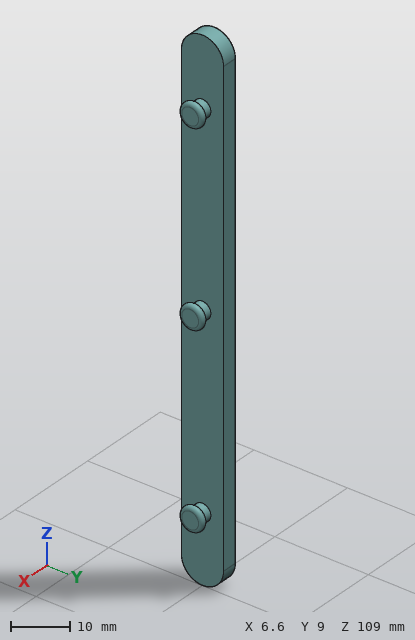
import cadquery as cq

bar_length = 109.0
bar_width = 9.0
bar_thickness = 3.3

total_depth = 6.6
stud_spacing = 40.0
neck_diameter = 3.6
bead_radius = 0.8

neck_radius = neck_diameter / 2
bead_start = total_depth - 2 * bead_radius


def make_bar():
    """Bar with its outer face on X = 0, centred in Y and Z."""
    return (
        cq.Workplane("YZ")
        .slot2D(bar_length, bar_width, angle=90)
        .extrude(bar_thickness)
    )


def make_stud(height):
    """Round neck ending in a half-round bead and a flat tip, at the given Z height."""
    profile = (
        cq.Workplane("XY")
        .moveTo(0, 0)
        .lineTo(0, neck_radius)
        .lineTo(bead_start, neck_radius)
        .threePointArc(
            (bead_start + bead_radius, neck_radius + bead_radius),
            (total_depth, neck_radius),
        )
        .lineTo(total_depth, 0)
        .close()
    )
    stud = profile.revolve(360, (0, 0, 0), (1, 0, 0))
    return stud.translate((0, 0, height))


result = make_bar()
for stud_height in (-stud_spacing, 0, stud_spacing):
    result = result.union(make_stud(stud_height))
result = result.clean()